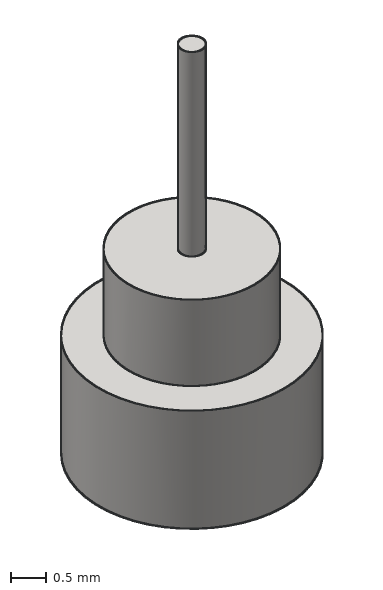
import cadquery as cq

total_height = 7.1
base_diameter = 3.7
base_height = 2.05
collar_diameter = 2.5
collar_height = 1.5
pin_diameter = 0.4

pin_height = total_height - base_height - collar_height


def add_cylinder(body, diameter, height):
    """Stack a coaxial cylinder on the top face of the body."""
    return body.faces(">Z").workplane().circle(diameter / 2).extrude(height)


base = cq.Workplane("XY").circle(base_diameter / 2).extrude(base_height)

with_collar = add_cylinder(base, collar_diameter, collar_height)
result = add_cylinder(with_collar, pin_diameter, pin_height)